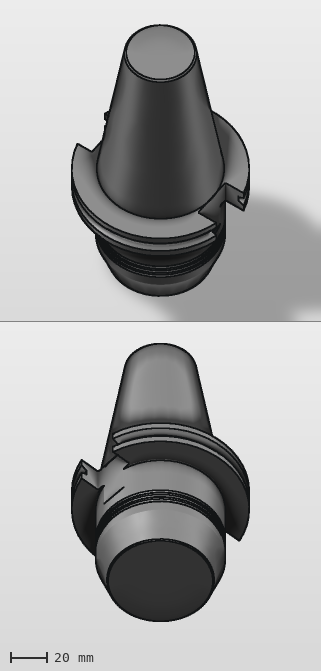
import cadquery as cq

total_length = 182.6
top_chamfer = 1.1

flange_radius = 49.21
flange_top = 77.8
flange_thickness = 15.9
flange_bottom = flange_top - flange_thickness
v_center = 70.0
v_mouth = 7.0
v_floor = 3.0
v_floor_radius = 45.6
v_ledge_radius = 46.7
v_ledge_height = 68.1

top_radius = 20.0
taper_per_side = 7 / 48
taper_base_radius = top_radius + (total_length - flange_top) * taper_per_side

slot_width = 25.7
left_floor = 37.6
right_floor = 35.0
slot_corner_radius = 0.7
right_slot_bottom = 45.6
runout_height = 1.6

body_radius = 36.0
nose_height = 19.0
nose_radius = 29.8
nose_chamfer = 0.7
nose_edge_radius = 1.8
under_flange_radius = 0.5
edge_margin = 0.2
ring_count = 3
ring_pitch = 3.8
ring_width = 2.2
ring_depth = 0.7
first_ring_height = 26.8


def revolve_profile(points):
    """Revolve (radius, height) points about the Z axis."""
    return cq.Workplane("XZ").polyline(points).close().revolve(360, (0, 0), (0, 1))


def round_body_edge(blank, height, radius):
    """Round the circular edge of the body at the given height."""
    reach = body_radius + edge_margin
    band = cq.selectors.BoxSelector(
        (-reach, -reach, height - edge_margin),
        (reach, reach, height + edge_margin),
        boundingbox=True,
    )
    return blank.edges(band).fillet(radius)


def make_shank():
    """Taper, flange, body and nose as one turned blank."""
    blank = revolve_profile([
        (0, 0),
        (nose_radius - nose_chamfer, 0),
        (nose_radius, nose_chamfer),
        (body_radius, nose_height),
        (body_radius, flange_bottom),
        (flange_radius, flange_bottom),
        (flange_radius, flange_top),
        (taper_base_radius, flange_top),
        (top_radius, total_length - top_chamfer),
        (top_radius - top_chamfer, total_length),
        (0, total_length),
    ])
    blank = round_body_edge(blank, nose_height, nose_edge_radius)
    return round_body_edge(blank, flange_bottom, under_flange_radius)


def make_gripper_groove():
    """Ring cutter with sloping sides, a flat floor and a narrow, flatter ledge below it."""
    return revolve_profile([
        (flange_radius, v_center - v_mouth / 2),
        (v_ledge_radius, v_ledge_height),
        (v_floor_radius, v_center - v_floor / 2),
        (v_floor_radius, v_center + v_floor / 2),
        (flange_radius, v_center + v_mouth / 2),
    ])


def make_ring_groove(height):
    """Small V-shaped ring cutter centered at the given height."""
    return revolve_profile([
        (body_radius, height - ring_width / 2),
        (body_radius - ring_depth, height),
        (body_radius, height + ring_width / 2),
    ])


def make_left_slot():
    """Shallow slot on the -X side, through the flange only."""
    cutter = cq.Workplane("XY", origin=(-flange_radius, 0, flange_bottom)).box(
        flange_radius - left_floor, slot_width, flange_thickness, centered=(False, True, False)
    )
    return cutter.edges("|Z and >X").fillet(slot_corner_radius)


def make_right_slot():
    """Deeper slot on the +X side that runs out in a slope on the body."""
    slope_reach = body_radius - right_floor
    drop_per_reach = runout_height / slope_reach
    outer_drop = (flange_radius - right_floor) * drop_per_reach
    cutter = (
        cq.Workplane("XZ", origin=(0, slot_width / 2, 0))
        .polyline([
            (right_floor, flange_top),
            (right_floor, right_slot_bottom),
            (flange_radius, right_slot_bottom - outer_drop),
            (flange_radius, flange_top),
        ])
        .close()
        .extrude(slot_width)
    )
    return cutter.edges("|Z and <X").fillet(slot_corner_radius)


result = make_shank().cut(make_gripper_groove())
for index in range(ring_count):
    result = result.cut(make_ring_groove(first_ring_height + index * ring_pitch))
result = result.cut(make_left_slot()).cut(make_right_slot())